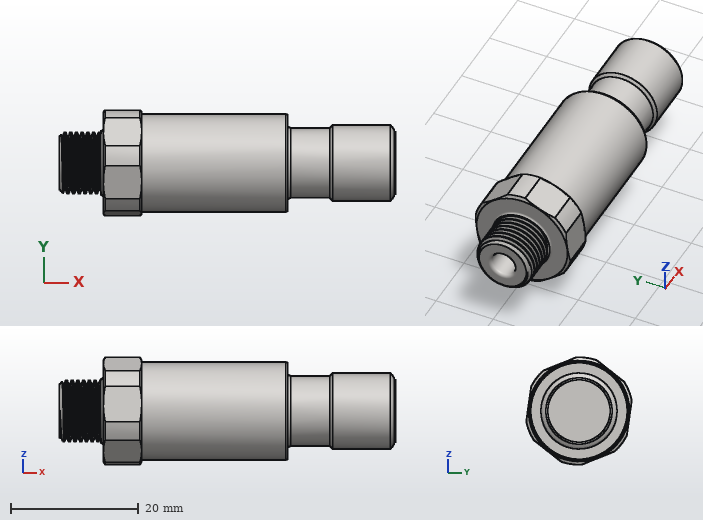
import cadquery as cq
import math

overall_length = 53.0
hex_start = 6.95
hex_end = 13.05
body_end = 36.0
neck_end = 42.55

thread_diameter = 9.75
thread_root_diameter = 8.6
thread_pitch = 0.9
thread_crest_width = 0.2
thread_base_width = 0.75
thread_embed = 0.1
thread_top_crest = 1.15
stub_face_diameter = 8.25
stub_envelope_growth = 1.05
collar_diameter = 10.8
collar_length = 0.35

hex_across_flats = 16.0
hex_corner_diameter = 16.95
hex_tilt = 8.0
hex_chamfer_length = 0.3
hex_face_diameter = 15.9

body_diameter = 15.5
body_chamfer_length = 0.3
body_chamfer_depth = 0.15
neck_diameter = 11.0
neck_base_diameter = 11.45
neck_base_length = 0.5
plug_diameter = 12.0
plug_rear_chamfer = 0.5
plug_front_chamfer = 0.3
plug_nose_diameter = 10.45
plug_tip_diameter = 9.8
plug_tip_length = 0.25
plug_nose_length = 0.3

port_diameter = 4.15
port_lip_radius = 0.6
port_depth = 10.6
nose_length = 1.05
nose_shoulder_diameter = 3.15
nose_shoulder_height = 0.4
nose_tip_diameter = 2.1
nose_hole_diameter = 0.55
nose_hole_depth = 1.05


def revolve_about_x(stations):
    """Solid of revolution about X from (x, diameter) stations."""
    outline = [(x, diameter / 2) for x, diameter in stations]
    first_x = stations[0][0]
    last_x = stations[-1][0]
    points = [(first_x, 0)] + outline + [(last_x, 0)]
    return cq.Workplane("XY").polyline(points).close().revolve(360, (0, 0, 0), (1, 0, 0))


def make_thread_ridge():
    """Right-handed helical ridge that overshoots both ends of the stub."""
    start = thread_top_crest - 2 * thread_pitch
    length = hex_start + thread_pitch / 2 - start
    root_radius = thread_root_diameter / 2
    helix = cq.Wire.makeHelix(thread_pitch, length, root_radius)
    inner = root_radius - thread_embed
    outer = thread_diameter / 2
    profile = cq.Workplane("XZ").polyline([
        (inner, -thread_base_width / 2),
        (outer, -thread_crest_width / 2),
        (outer, thread_crest_width / 2),
        (inner, thread_base_width / 2),
    ]).close()
    ridge = profile.sweep(cq.Workplane(helix), isFrenet=True)
    ridge = ridge.rotate((0, 0, 0), (0, 1, 0), 90).rotate((0, 0, 0), (1, 0, 0), 180)
    return ridge.translate((start, 0, 0))


def make_stub():
    """Threaded core, cut off and chamfered at its free end and flared at the hexagon."""
    rough_core = revolve_about_x([
        (-2 * thread_pitch, thread_root_diameter),
        (hex_end, thread_root_diameter),
    ])
    envelope = revolve_about_x([
        (0, stub_face_diameter),
        (stub_envelope_growth, stub_face_diameter + 2 * stub_envelope_growth),
        (hex_end, stub_face_diameter + 2 * stub_envelope_growth),
    ])
    return rough_core.union(make_thread_ridge()).intersect(envelope).union(make_collar())


def make_collar():
    """Concave flare that blends the stub into the face of the hexagon."""
    outer_radius = collar_diameter / 2
    inner_radius = outer_radius - collar_length
    sag = collar_length * math.sqrt(0.5)
    return (
        cq.Workplane("XY")
        .moveTo(hex_start - collar_length, 0)
        .lineTo(hex_start - collar_length, inner_radius)
        .threePointArc(
            (hex_start - collar_length + sag, outer_radius - sag),
            (hex_start, outer_radius),
        )
        .lineTo(hex_end, outer_radius)
        .lineTo(hex_end, 0)
        .close()
        .revolve(360, (0, 0, 0), (1, 0, 0))
    )


def make_hexagon():
    across_corners = hex_across_flats / math.cos(math.radians(30))
    prism = (
        cq.Workplane("YZ", origin=(hex_start, 0, 0))
        .polygon(6, across_corners)
        .extrude(hex_end - hex_start)
        .rotate((0, 0, 0), (1, 0, 0), 90 - hex_tilt)
    )
    envelope = revolve_about_x([
        (hex_start, hex_face_diameter),
        (hex_start + hex_chamfer_length, hex_corner_diameter),
        (hex_end - hex_chamfer_length, hex_corner_diameter),
        (hex_end, hex_face_diameter),
    ])
    return prism.intersect(envelope)


def make_body_and_plug():
    tip_start = overall_length - plug_tip_length
    nose_start = tip_start - plug_nose_length
    return revolve_about_x([
        (hex_start, body_diameter),
        (body_end - body_chamfer_length, body_diameter),
        (body_end, body_diameter - 2 * body_chamfer_depth),
        (body_end, neck_base_diameter),
        (body_end + neck_base_length, neck_diameter),
        (neck_end, neck_diameter),
        (neck_end + plug_rear_chamfer, plug_diameter),
        (nose_start - plug_front_chamfer, plug_diameter),
        (nose_start, plug_diameter - 2 * plug_front_chamfer),
        (tip_start, plug_nose_diameter),
        (tip_start, plug_tip_diameter),
        (overall_length, plug_tip_diameter),
    ])


def make_port():
    """Blind bore with a rounded lip, around a drilled conical nose on its floor."""
    port_radius = port_diameter / 2
    nose_tip_x = port_depth - nose_length
    hole_radius = nose_hole_diameter / 2
    hole_end = nose_tip_x + nose_hole_depth
    lip_middle = port_lip_radius * (1 - math.sqrt(0.5))
    return (
        cq.Workplane("XY")
        .moveTo(0, 0)
        .lineTo(0, port_radius + port_lip_radius)
        .threePointArc(
            (lip_middle, port_radius + lip_middle),
            (port_lip_radius, port_radius),
        )
        .lineTo(port_depth, port_radius)
        .lineTo(port_depth - nose_shoulder_height, nose_shoulder_diameter / 2)
        .lineTo(nose_tip_x, nose_tip_diameter / 2)
        .lineTo(nose_tip_x, hole_radius)
        .lineTo(hole_end, hole_radius)
        .lineTo(hole_end, 0)
        .close()
        .revolve(360, (0, 0, 0), (1, 0, 0))
    )


result = make_stub().union(make_hexagon()).union(make_body_and_plug()).cut(make_port())